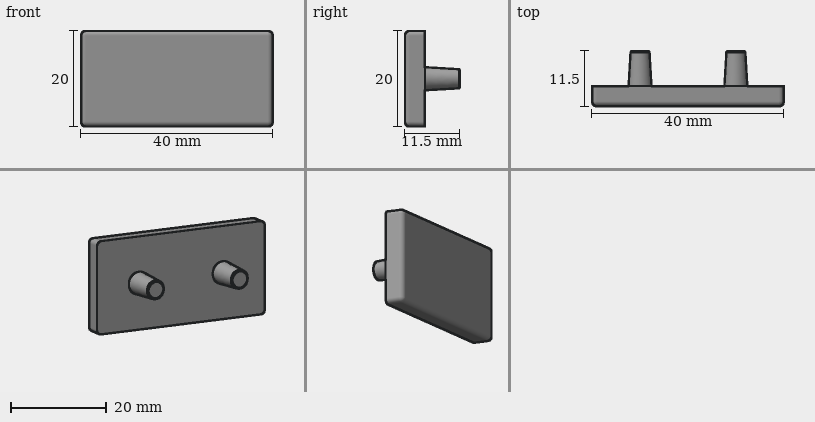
import cadquery as cq

length = 40.0
height = 20.0
thickness = 4.2
edge_radius = 1.0

total_depth = 11.5
pin_length = total_depth - thickness
pin_spacing = length / 2
pin_base_diameter = 4.9
pin_tip_chamfer = 0.25
pin_tip_diameter = 4.0


def make_plate():
    """Plate with rounded corners and a rounded front rim; its back face lies at Y = 0."""
    plate = cq.Workplane("XY").box(length, thickness, height).translate((0, -thickness / 2, 0))
    return plate.edges("|Y or <Y").fillet(edge_radius)


def make_pin(x):
    """Tapered pin along +Y with a chamfered tip, standing on the back face."""
    pin = cq.Workplane(
        cq.Solid.makeCone(
            pin_base_diameter / 2,
            pin_tip_diameter / 2,
            pin_length,
            cq.Vector(x, 0, 0),
            cq.Vector(0, 1, 0),
        )
    )
    return pin.faces(">Y").edges().chamfer(pin_tip_chamfer)


result = make_plate()
for pin_x in (-pin_spacing / 2, pin_spacing / 2):
    result = result.union(make_pin(pin_x))